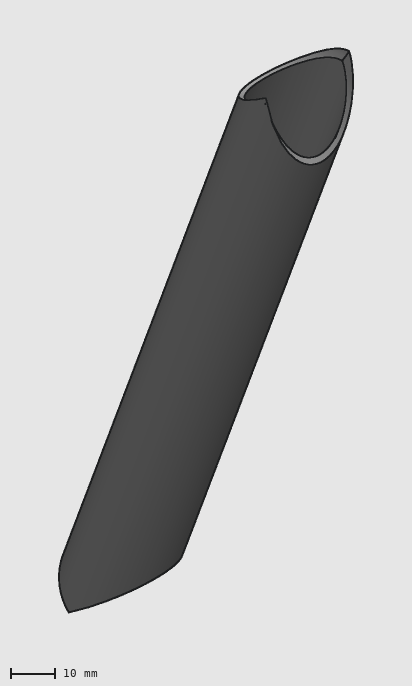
import cadquery as cq

slope_y = -0.389
slope_z = 0.871
outer_radius = 12.5
wall = 1.3

lower_node = 150.7
upper_node = 151.0
upright_node = 151.5

cope_radius = 13.0
miss = 0.5

cutter_length = 178.4

axis = cq.Vector(1, slope_y, slope_z).normalized()
chord = cq.Vector(1, 0, 0)
upright = cq.Vector(0, -slope_y, -slope_z).normalized()


def rod(middle, direction, radius, length):
    """Solid cylinder centred on a point and running along a direction."""
    start = middle - direction * (length / 2)
    return cq.Workplane(cq.Solid.makeCylinder(radius, length, start, direction))


def cope(node, direction):
    """Neighbouring tube whose centreline passes close to the brace axis."""
    sideways = axis.cross(direction).normalized()
    return rod(axis * node + sideways * miss, direction, cope_radius, cutter_length)


length = lower_node + upper_node
middle = axis * ((upper_node - lower_node) / 2)
tube = rod(middle, axis, outer_radius, length)
tube = tube.cut(rod(middle, axis, outer_radius - wall, length))

tube = tube.cut(cope(-lower_node, chord))
tube = tube.cut(cope(upper_node, chord))
tube = tube.cut(cope(upright_node, upright))

result = cq.Workplane(max(tube.solids().vals(), key=lambda piece: piece.Volume()))